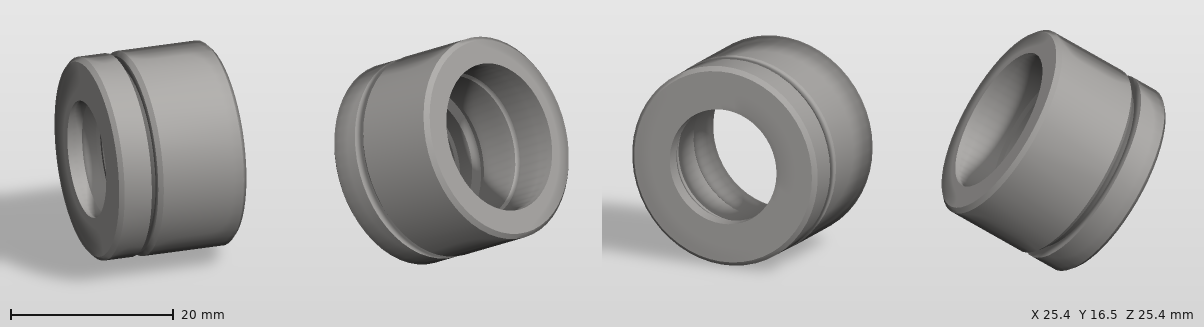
import cadquery as cq

length = 16.5
body_radius = 12.7
flange_radius = 12.62
flange_length = 4.06
neck_radius = 11.13
neck_length = 1.0
body_start = flange_length + neck_length
chamfer = 0.53

mouth_radius = 7.26
mouth_length = 1.9
seat_radius = 7.98
seat_end = 4.0
bore_radius = 9.0
groove_radius = 9.52
groove_width = 1.02
groove_end = seat_end + groove_width
bore_end = 10.41
rear_start = bore_end + chamfer
rear_radius = 9.25


def cylinder(radius, start, end):
    """Solid cylinder along +Y between two axial positions."""
    return cq.Workplane("XZ", origin=(0, start, 0)).circle(radius).extrude(start - end)


flange = cylinder(flange_radius, 0, flange_length).faces("<Y").chamfer(chamfer)
neck = cylinder(neck_radius, flange_length, body_start)
body = cylinder(body_radius, body_start, length).faces("<Y or >Y").chamfer(chamfer)
outside = flange.union(neck).union(body)

bore_steps = [
    (mouth_radius, 0, mouth_length),
    (seat_radius, mouth_length, seat_end),
    (groove_radius, seat_end, groove_end),
    (bore_radius, groove_end, bore_end),
    (rear_radius, rear_start, length),
]

result = outside
for radius, start, end in bore_steps:
    result = result.cut(cylinder(radius, start, end))

flare = cq.Solid.makeCone(
    bore_radius,
    bore_radius + chamfer,
    chamfer,
    pnt=cq.Vector(0, bore_end, 0),
    dir=cq.Vector(0, 1, 0),
)
result = result.cut(cq.Workplane(flare))